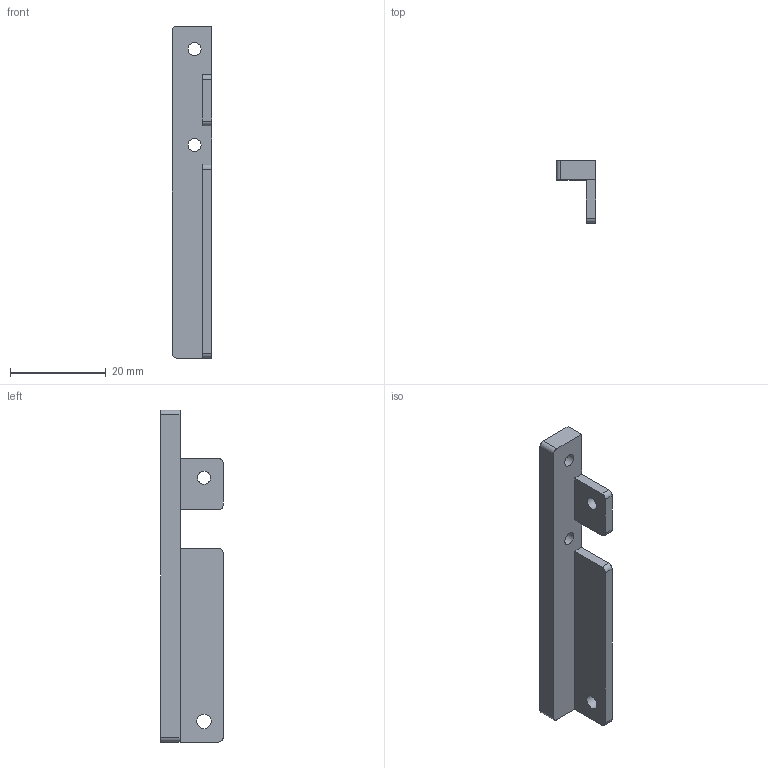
import cadquery as cq

WIDTH = 8.32
DEPTH = 13.0
HEIGHT = 69.17

BAR_DEPTH = 4.0
FLANGE_THICKNESS = 2.0
CORNER_RADIUS = 1.0

UPPER_FLANGE_TOP_OFFSET = 10.13
UPPER_FLANGE_HEIGHT = 10.67
LOWER_FLANGE_HEIGHT = 40.35

BAR_HOLE_DIAMETER = 2.7
BAR_HOLE_X = 4.7
BAR_HOLE_TOP_OFFSET = 4.8
BAR_HOLE_SPACING = 20.0

FLANGE_HOLE_Y = 4.0
UPPER_HOLE_DIAMETER = 2.7
UPPER_HOLE_TOP_OFFSET = 14.13
LOWER_HOLE_DIAMETER = 3.0
LOWER_HOLE_Z = 4.3


def make_bar():
    """Full-height bar with its two left corners rounded."""
    bar = cq.Workplane("XY").box(WIDTH, BAR_DEPTH, HEIGHT, centered=False)
    bar = bar.translate((0, DEPTH - BAR_DEPTH, 0))
    return bar.edges("|Y and <X").fillet(CORNER_RADIUS)


def make_flange(bottom, height):
    """Thin flange reaching from the back face to the front, with rounded front corners."""
    flange = cq.Workplane("XY").box(FLANGE_THICKNESS, DEPTH, height, centered=False)
    flange = flange.translate((WIDTH - FLANGE_THICKNESS, 0, bottom))
    return flange.edges("|X and <Y").fillet(CORNER_RADIUS)


def bar_hole(z):
    """Cutter for a hole through the bar."""
    cutter = cq.Workplane("XZ").center(BAR_HOLE_X, z).circle(BAR_HOLE_DIAMETER / 2)
    return cutter.extrude(-DEPTH)


def flange_hole(z, diameter):
    """Cutter for a hole through a flange."""
    return cq.Workplane("YZ").center(FLANGE_HOLE_Y, z).circle(diameter / 2).extrude(WIDTH)


upper_flange_bottom = HEIGHT - UPPER_FLANGE_TOP_OFFSET - UPPER_FLANGE_HEIGHT
top_bar_hole_z = HEIGHT - BAR_HOLE_TOP_OFFSET
upper_hole_z = HEIGHT - UPPER_HOLE_TOP_OFFSET

result = make_bar()
result = result.union(make_flange(upper_flange_bottom, UPPER_FLANGE_HEIGHT))
result = result.union(make_flange(0, LOWER_FLANGE_HEIGHT))

for hole_z in (top_bar_hole_z, top_bar_hole_z - BAR_HOLE_SPACING):
    result = result.cut(bar_hole(hole_z))

result = result.cut(flange_hole(upper_hole_z, UPPER_HOLE_DIAMETER))
result = result.cut(flange_hole(LOWER_HOLE_Z, LOWER_HOLE_DIAMETER))